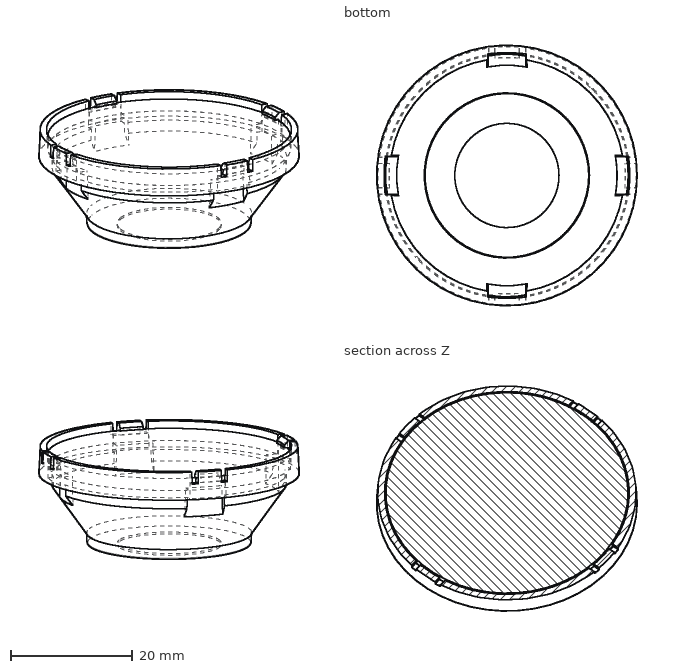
import cadquery as cq

boss_height = 0.3
base_chamfer_top = 0.55
cone_bottom = 1.97
collar_bottom = 10.05
rim_bottom = 11.9
rim_top = 16.5

boss_radius = 8.57
base_bottom_radius = 13.45
base_radius = 13.55
cone_bottom_radius = 13.6
collar_radius = 19.3
rim_bottom_radius = 21.45
rim_top_radius = 21.2

disc_diameter = 39.9
disc_radius = disc_diameter / 2
disc_thickness = 2.0
disc_recess = 1.2
disc_top = rim_top - disc_recess
disc_bottom = disc_top - disc_thickness
pocket_bottom_clearance = 0.05
pocket_top_clearance = 0.2
pocket_bottom_radius = disc_radius + pocket_bottom_clearance
pocket_top_radius = disc_radius + pocket_top_clearance

clip_count = 4
slot_spacing = 5.05
slot_bottom_width = 1.0
slot_top_width = 1.1
slot_depth = 1.97
slot_bottom = rim_top - slot_depth
hook_radius = 19.45
hook_face_height = 0.47

window_clearance = 0.25
window_inner_radius = 18.15
window_outer_radius = disc_radius + window_clearance
window_top_width = 6.1
window_bottom_width = 6.7


def revolve_profile(points):
    """Revolve an outline of (radius, height) points about the Z axis."""
    return cq.Workplane("XZ").polyline(points).close().revolve(360, (0, 0, 0), (0, 1, 0))


def around_axis(body):
    """Yield the body at each clip position, starting on the +X side."""
    for index in range(clip_count):
        yield body.rotate((0, 0, 0), (0, 0, 1), index * 360 / clip_count)


def make_shell():
    outside = revolve_profile([
        (0, 0),
        (boss_radius, 0),
        (boss_radius, boss_height),
        (base_bottom_radius, boss_height),
        (base_radius, base_chamfer_top),
        (cone_bottom_radius, cone_bottom),
        (collar_radius, collar_bottom),
        (collar_radius, rim_bottom),
        (rim_bottom_radius, rim_bottom),
        (rim_top_radius, rim_top),
        (0, rim_top),
    ])
    pocket = revolve_profile([
        (0, disc_bottom),
        (pocket_bottom_radius, disc_bottom),
        (pocket_top_radius, rim_top),
        (0, rim_top),
    ])
    return outside.cut(pocket)


def make_tapered_bar(center, bottom, bottom_width, top, top_width):
    """Bar running from the axis out to the rim radius along +X, with leaning sides."""
    return (
        cq.Workplane("YZ")
        .polyline([
            (center - bottom_width / 2, bottom),
            (center + bottom_width / 2, bottom),
            (center + top_width / 2, top),
            (center - top_width / 2, top),
        ])
        .close()
        .extrude(rim_bottom_radius)
    )


def make_slot(side):
    """Slot on one side (-1 or 1) of the +X clip, narrowing downward."""
    center = side * slot_spacing / 2
    return make_tapered_bar(center, slot_bottom, slot_bottom_width, rim_top, slot_top_width)


def make_hook():
    """Inward hook of the +X clip: upright tip face over the disc, sloping back to the rim."""
    ring = revolve_profile([
        (hook_radius, disc_top),
        (pocket_top_radius, disc_top),
        (pocket_top_radius, rim_top),
        (hook_radius, disc_top + hook_face_height),
    ])
    clip_bottom_width = slot_spacing - slot_bottom_width
    clip_top_width = slot_spacing - slot_top_width
    clip_slice = make_tapered_bar(0, slot_bottom, clip_bottom_width, rim_top, clip_top_width)
    return ring.intersect(clip_slice)


def make_window():
    """Window on the +X side: an arc-shaped opening that widens downward.

    Its inner wall runs down to where it meets the cone; its top is level with the slot floors.
    """
    ring = (
        cq.Workplane("XY", origin=(0, 0, cone_bottom))
        .circle(window_outer_radius)
        .circle(window_inner_radius)
        .extrude(slot_bottom - cone_bottom)
    )
    wall_bottom = cone_bottom + (collar_bottom - cone_bottom) * (
        (window_inner_radius - cone_bottom_radius) / (collar_radius - cone_bottom_radius)
    )
    window_slice = make_tapered_bar(0, wall_bottom, window_bottom_width, slot_bottom, window_top_width)
    return ring.intersect(window_slice)


def make_housing():
    body = make_shell()
    for side in (-1, 1):
        for slot in around_axis(make_slot(side)):
            body = body.cut(slot)
    for window in around_axis(make_window()):
        body = body.cut(window)
    for hook in around_axis(make_hook()):
        body = body.union(hook)
    return body.solids()


def make_disc():
    return cq.Workplane("XY", origin=(0, 0, disc_bottom)).circle(disc_radius).extrude(disc_thickness)


housing = make_housing()
disc = make_disc()

result = cq.Compound.makeCompound([housing.val(), disc.val()])